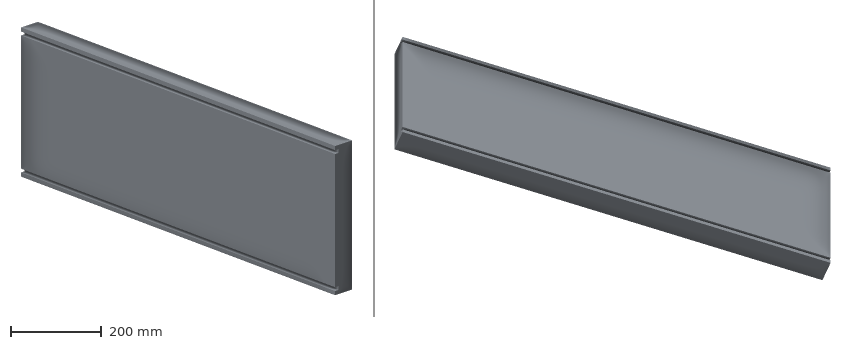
import cadquery as cq
import math

tilt = 14.0
size_x = 992.0
size_y = 294.0
height = 352.0

groove_width = 9.0
groove_depth = 10.0
edge_lip = 10.0

cos_tilt = math.cos(math.radians(tilt))
sin_tilt = math.sin(math.radians(tilt))
spread = cos_tilt**2 - sin_tilt**2
length = (size_x * cos_tilt - size_y * sin_tilt) / spread
thickness = (size_y * cos_tilt - size_x * sin_tilt) / spread


def groove(side):
    """Full-length groove cutter; side is +1 for the top edge, -1 for the bottom."""
    z_center = side * (height / 2 - edge_lip - groove_width / 2)
    y_center = -thickness / 2 + groove_depth / 2
    return cq.Workplane("XY").box(length, groove_depth, groove_width).translate((0, y_center, z_center))


panel = cq.Workplane("XY").box(length, thickness, height)
for side in (1, -1):
    panel = panel.cut(groove(side))

result = panel.rotate((0, 0, 0), (0, 0, 1), -tilt)